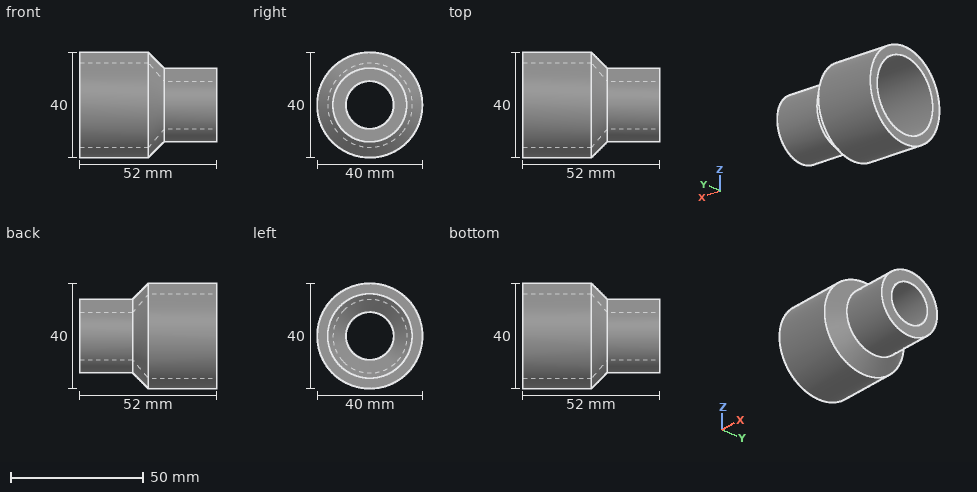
import cadquery as cq

total_length = 52.0
wide_length = 26.0
narrow_length = 20.0
wide_outer_diameter = 40.0
wide_bore_diameter = 32.0
narrow_outer_diameter = 28.0
narrow_bore_diameter = 18.0

cone_start = wide_length
cone_end = total_length - narrow_length


def stepped_solid(wide_diameter, narrow_diameter):
    """Solid of revolution about X: wide cylinder, cone, narrow cylinder."""
    wide_radius = wide_diameter / 2
    narrow_radius = narrow_diameter / 2
    return (
        cq.Workplane("XY")
        .moveTo(0, 0)
        .lineTo(0, wide_radius)
        .lineTo(cone_start, wide_radius)
        .lineTo(cone_end, narrow_radius)
        .lineTo(total_length, narrow_radius)
        .lineTo(total_length, 0)
        .close()
        .revolve(360, (0, 0, 0), (1, 0, 0))
    )


body = stepped_solid(wide_outer_diameter, narrow_outer_diameter)
bore = stepped_solid(wide_bore_diameter, narrow_bore_diameter)

result = body.cut(bore)